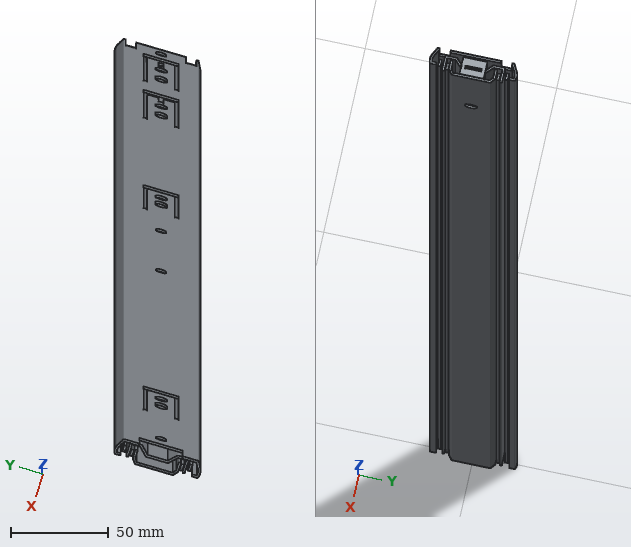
import cadquery as cq

LENGTH = 700.0
DEPTH = 12.5
WIDTH = 45.5
SHEET = 1.25
HALF_SHEET = SHEET / 2

OUTER_WEB_HALF = 19.5
ROLL_START_X = 4.55
ROLL_APEX_X = 6.0
ROLL_END_X = 8.5
ROLL_DROP = 0.4
LIP_DROP = 2.0
RELIEF_INNER_Y = 13.0
RELIEF_OUTER_Y = 19.0
RELIEF_HEIGHT = 10.0
END_NOTCH_WIDTH = 23.0
END_NOTCH_HEIGHT = 10.0

MIDDLE_BOTTOM = 6.0
MIDDLE_TOP = LENGTH - 3.5
MIDDLE_SHELF_X = 3.0
MIDDLE_CENTRE_X = 7.0
MIDDLE_CENTRE_HALF = 5.5
MIDDLE_SHELF_START_Y = 10.0
MIDDLE_FLANGE_SPACING = 30.0
MIDDLE_FLANGE_Y = MIDDLE_FLANGE_SPACING / 2
MIDDLE_FLANGE_END_X = 10.0

BLOCK_NEAR_X = 2.0
BLOCK_FAR_X = 11.0
BLOCK_HALF = 6.0
BLOCK_HEIGHT = 10.0
BLOCK_GROOVE_HALF = 4.0
BLOCK_GROOVE_WIDTH = 1.5
BLOCK_GROOVE_DEPTH = 2.0

INNER_BOTTOM = 5.0
INNER_WEB_HALF = 10.0
INNER_FLANGE_SPACING = 23.0
INNER_FLANGE_Y = INNER_FLANGE_SPACING / 2
INNER_BEND_X = 10.0
INNER_FLANGE_END_X = 5.5

RETAINER_THICKNESS = 1.5
RETAINER_WIDTH = 3.5
OUTER_RETAINER_Y = 17.5
OUTER_RETAINER_X = 6.65
INNER_RETAINER_Y = (MIDDLE_FLANGE_Y + INNER_FLANGE_Y) / 2
INNER_RETAINER_X = 8.0

TAB_WIDTH = 15.0
TAB_SLOT_WIDTH = 2.0
UPPER_TAB = (684.0, 46.0, 4.0)
SECOND_TAB = (621.0, 48.0, 6.0)
THIRD_TAB = (454.0, 40.0, 4.0)
LOWEST_TAB = (102.0, 40.0, 4.0)

WEB_HOLE_DIAMETER = 5.5
TAB_HOLE_DIAMETER = 6.0
OVAL_LENGTH = 9.0
WEB_HOLE_HEIGHTS = (692.0, 383.0, 313.0, 19.5)
TAB_HOLE_HEIGHTS = (664.0, 600.5, 441.0, 89.0)
OVAL_HEIGHTS = (648.0, 585.0, 429.0, 77.0)
KEY_WIDTH = 3.0
UPPER_KEY_SPAN = (670.5, 676.0)
SECOND_KEY_BOTTOM = 608.0
ACCESS_HOLE_DIAMETER = 6.0
ACCESS_HOLE_HEIGHT = 650.0


def box_between(x_range, y_range, z_range):
    """Box between two values on each axis."""
    size = [high - low for low, high in (x_range, y_range, z_range)]
    corner = cq.Vector(x_range[0], y_range[0], z_range[0])
    return cq.Workplane("XY").box(*size, centered=False).translate(corner)


def web_cutter(half_width, z_range, centre_y=0.0):
    """Box that cuts through the web of the outer rail."""
    y_range = (centre_y - half_width, centre_y + half_width)
    return box_between((-SHEET, 2 * SHEET), y_range, z_range)


def web_sketch():
    """Sketch plane just outside the web of the outer rail; local axes are Y and Z."""
    return cq.Workplane("YZ").workplane(offset=-SHEET)


def extrude_sheet(centre_line, bottom, top):
    """Sheet of constant thickness around an open centre line."""
    section = centre_line.offset2D(HALF_SHEET)
    return section.extrude(top - bottom).translate((0, 0, bottom))


def mirrored_points(half_points):
    """Open symmetric chain from points listed from the edge towards the web."""
    return half_points + [(x, -y) for x, y in reversed(half_points)]


def outer_profile():
    """Centre line of the outer rail, from one lip to the other."""
    apex_y = WIDTH / 2 - HALF_SHEET
    roll_y = apex_y - ROLL_DROP
    lip_y = roll_y - LIP_DROP
    return (
        cq.Workplane("XY")
        .moveTo(ROLL_END_X, lip_y)
        .lineTo(ROLL_END_X, roll_y)
        .threePointArc((ROLL_APEX_X, apex_y), (ROLL_START_X, roll_y))
        .lineTo(HALF_SHEET, OUTER_WEB_HALF)
        .lineTo(HALF_SHEET, -OUTER_WEB_HALF)
        .lineTo(ROLL_START_X, -roll_y)
        .threePointArc((ROLL_APEX_X, -apex_y), (ROLL_END_X, -roll_y))
        .lineTo(ROLL_END_X, -lip_y)
    )


def cut_tab(rail, slot_top, slot_length, gap):
    """Cut an upside-down U slot that frees a tab on three sides."""
    outline = web_cutter(TAB_WIDTH / 2 + TAB_SLOT_WIDTH, (slot_top - slot_length, slot_top))
    tab = web_cutter(TAB_WIDTH / 2, (slot_top - slot_length, slot_top - gap))
    return rail.cut(outline.cut(tab))


def cut_web_holes(rail):
    """Round and oval holes along the middle of the web."""
    hole_kinds = (
        (WEB_HOLE_HEIGHTS, WEB_HOLE_DIAMETER, WEB_HOLE_DIAMETER),
        (TAB_HOLE_HEIGHTS, TAB_HOLE_DIAMETER, TAB_HOLE_DIAMETER),
        (OVAL_HEIGHTS, TAB_HOLE_DIAMETER, OVAL_LENGTH),
    )
    for heights, width, length in hole_kinds:
        places = web_sketch().pushPoints([(0, z) for z in heights])
        outlines = places.slot2D(length, width, 90) if length > width else places.circle(width / 2)
        rail = rail.cut(outlines.extrude(3 * SHEET))
    return rail


def cut_keys(rail):
    """Key hole in the uppermost tab and key notch in the free edge of the second tab."""
    slot_top, _, gap = SECOND_TAB
    for span in (UPPER_KEY_SPAN, (SECOND_KEY_BOTTOM, slot_top - gap)):
        rail = rail.cut(web_cutter(KEY_WIDTH / 2, span))
    return rail


def cut_end_reliefs(rail):
    """Corner reliefs at the top and the wide notch at the bottom of the web."""
    relief_centre = (RELIEF_INNER_Y + RELIEF_OUTER_Y) / 2
    relief_half = (RELIEF_OUTER_Y - RELIEF_INNER_Y) / 2
    for side in (-1, 1):
        rail = rail.cut(web_cutter(relief_half, (LENGTH - RELIEF_HEIGHT, LENGTH), side * relief_centre))
    return rail.cut(web_cutter(END_NOTCH_WIDTH / 2, (0, END_NOTCH_HEIGHT)))


def make_outer_rail():
    rail = extrude_sheet(outer_profile(), 0, LENGTH)
    rail = cut_end_reliefs(rail)
    for slot_top, slot_length, gap in (UPPER_TAB, SECOND_TAB, THIRD_TAB, LOWEST_TAB):
        rail = cut_tab(rail, slot_top, slot_length, gap)
    return cut_keys(cut_web_holes(rail))


def access_hole():
    """Bore that lines up with the lower hole of the uppermost tab."""
    return web_sketch().center(0, ACCESS_HOLE_HEIGHT).circle(ACCESS_HOLE_DIAMETER / 2).extrude(2 * DEPTH)


def make_end_block():
    """Block across the centre of the middle rail, with a groove in its top."""
    block = box_between(
        (BLOCK_NEAR_X, BLOCK_FAR_X), (-BLOCK_HALF, BLOCK_HALF), (LENGTH - BLOCK_HEIGHT, LENGTH)
    )
    groove = box_between(
        (MIDDLE_CENTRE_X - BLOCK_GROOVE_WIDTH / 2, MIDDLE_CENTRE_X + BLOCK_GROOVE_WIDTH / 2),
        (-BLOCK_GROOVE_HALF, BLOCK_GROOVE_HALF),
        (LENGTH - BLOCK_GROOVE_DEPTH, LENGTH),
    )
    return block.cut(groove)


def make_middle_rail():
    half_profile = [
        (MIDDLE_FLANGE_END_X, MIDDLE_FLANGE_Y),
        (MIDDLE_SHELF_X, MIDDLE_FLANGE_Y),
        (MIDDLE_SHELF_X, MIDDLE_SHELF_START_Y),
        (MIDDLE_CENTRE_X, MIDDLE_CENTRE_HALF),
    ]
    centre_line = cq.Workplane("XY").polyline(mirrored_points(half_profile))
    rail = extrude_sheet(centre_line, MIDDLE_BOTTOM, MIDDLE_TOP)
    return rail.union(make_end_block()).cut(access_hole())


def make_inner_rail():
    half_profile = [
        (INNER_FLANGE_END_X, INNER_FLANGE_Y),
        (INNER_BEND_X, INNER_FLANGE_Y),
        (DEPTH - HALF_SHEET, INNER_WEB_HALF),
    ]
    centre_line = cq.Workplane("XY").polyline(mirrored_points(half_profile))
    return extrude_sheet(centre_line, INNER_BOTTOM, LENGTH).cut(access_hole())


def make_retainer(centre_x, centre_y):
    """Ball retainer strip as long as the middle rail."""
    strip = cq.Workplane("XY").rect(RETAINER_WIDTH, RETAINER_THICKNESS).extrude(MIDDLE_TOP - MIDDLE_BOTTOM)
    return strip.translate((centre_x, centre_y, MIDDLE_BOTTOM))


outer_rail = make_outer_rail()
middle_rail = make_middle_rail()
inner_rail = make_inner_rail()

retainers = []
for side in (-1, 1):
    retainers.append(make_retainer(OUTER_RETAINER_X, side * OUTER_RETAINER_Y).val())
    retainers.append(make_retainer(INNER_RETAINER_X, side * INNER_RETAINER_Y).val())

result = cq.Compound.makeCompound([outer_rail.val(), middle_rail.val(), inner_rail.val(), *retainers])